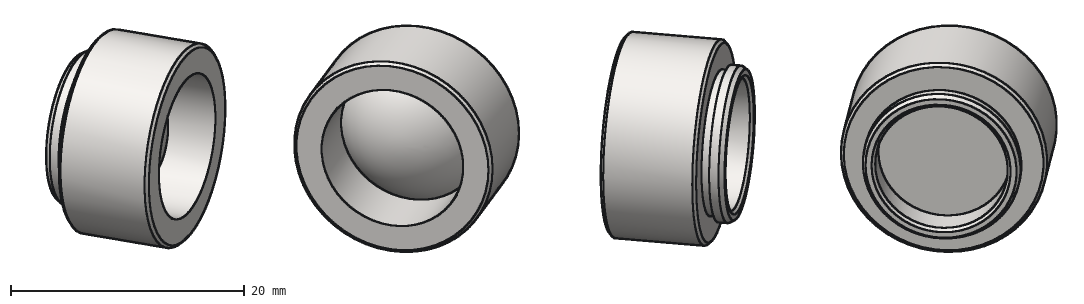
import cadquery as cq
import math


barrel_radius = 8.89
barrel_chamfer = 0.28
total_length = 10.4
barrel_start = 2.05

collar_radius = 6.8
collar_lead_length = 0.46
collar_lead_height = 0.28
relief_start = 1.28
relief_radius = 6.33

front_bore_radius = 5.7
mouth_chamfer = 0.28
seat_depth = 2.88

lens_radius = 6.35
lens_edge_thickness = 1.8
lens_curve_radius = 7.7


def revolve_about_x(profile):
    """Revolve a closed (x, radius) profile a full turn about the X axis."""
    return profile.close().revolve(360, (0, 0, 0), (1, 0, 0))


def make_housing():
    """Barrel, collar and stepped through bore as one turned solid."""
    profile = (
        cq.Workplane("XY")
        .moveTo(0, front_bore_radius + mouth_chamfer)
        .lineTo(0, collar_radius - collar_lead_height)
        .lineTo(collar_lead_length, collar_radius)
        .lineTo(relief_start, collar_radius)
        .lineTo(relief_start, relief_radius)
        .lineTo(barrel_start, relief_radius)
        .lineTo(barrel_start, barrel_radius - barrel_chamfer)
        .lineTo(barrel_start + barrel_chamfer, barrel_radius)
        .lineTo(total_length - barrel_chamfer, barrel_radius)
        .lineTo(total_length, barrel_radius - barrel_chamfer)
        .lineTo(total_length, lens_radius)
        .lineTo(seat_depth, lens_radius)
        .lineTo(seat_depth, front_bore_radius)
        .lineTo(mouth_chamfer, front_bore_radius)
    )
    return revolve_about_x(profile)


def make_lens():
    """Lens with a flat front face and a spherical back face."""
    edge_x = seat_depth + lens_edge_thickness
    sphere_center_x = edge_x - math.sqrt(lens_curve_radius**2 - lens_radius**2)
    apex_x = sphere_center_x + lens_curve_radius
    half_edge_angle = math.asin(lens_radius / lens_curve_radius) / 2
    arc_mid = (
        sphere_center_x + lens_curve_radius * math.cos(half_edge_angle),
        lens_curve_radius * math.sin(half_edge_angle),
    )
    profile = (
        cq.Workplane("XY")
        .moveTo(seat_depth, 0)
        .lineTo(seat_depth, lens_radius)
        .lineTo(edge_x, lens_radius)
        .threePointArc(arc_mid, (apex_x, 0))
    )
    return revolve_about_x(profile)


housing = make_housing()
lens = make_lens()

result = cq.Compound.makeCompound([housing.val(), lens.val()])